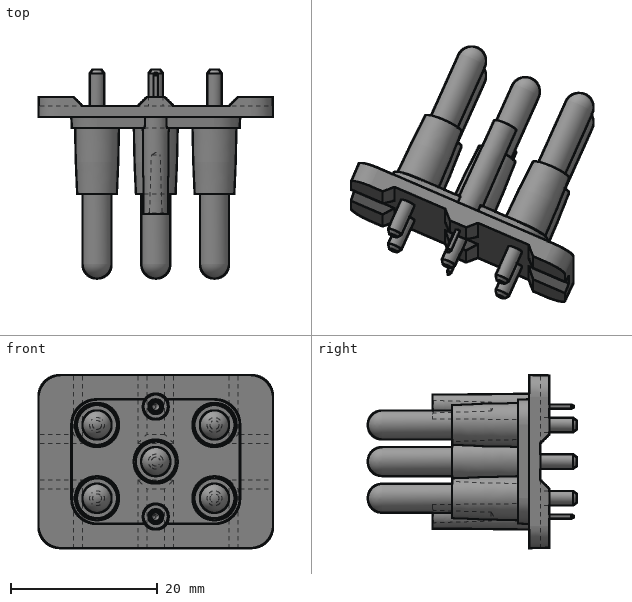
import cadquery as cq
import math


FLANGE_WIDTH = 32.0
FLANGE_HEIGHT = 23.6
FLANGE_CORNER = 3.0
FLANGE_DEPTH = 2.75
FLANGE_DRAFT_ANGLE = 1.0
GROOVE_DEPTH = 1.2
UPRIGHT_GROOVE_INNER = 1.2
UPRIGHT_GROOVE_OUTER = 11.2
LEVEL_GROOVE_FLOOR_WIDTH = 5.0

CONTACT_X = 8.0
CONTACT_Z = 5.0
CONTACT_CENTRES = [(0, 0)] + [
    (side * CONTACT_X, level * CONTACT_Z) for side in (-1, 1) for level in (-1, 1)
]

PAD_CORNER = 3.52
PAD_DEPTH = 1.5
PAD_DRAFT_ANGLE = 3.0
PAD_WIDTH = 2 * (CONTACT_X + PAD_CORNER)
PAD_HEIGHT = 2 * (CONTACT_Z + PAD_CORNER)

SLEEVE_ROOT_DIAMETER = 6.08
SLEEVE_WAIST_DIAMETER = 5.82
SLEEVE_END_DIAMETER = 5.45
SLEEVE_WAIST = 6.1
SLEEVE_LENGTH = 10.5

PIN_DIAMETER = 4.0
PIN_REACH = 22.0
TAIL_DIAMETER = 2.0
TAIL_REACH = 6.5
TAIL_CHAMFER_LENGTH = 0.55
TAIL_TIP_DIAMETER = 1.2

TUBE_Z = 7.5
TUBE_CENTRES = [(0, -TUBE_Z), (0, TUBE_Z)]
TUBE_ROOT_DIAMETER = 3.6
TUBE_END_DIAMETER = 3.33
TUBE_TAPER_END = 11.6
TUBE_LENGTH = 13.2
BORE_MOUTH_DIAMETER = 2.0
BORE_DIAMETER = 1.7
BORE_FLOOR_DIAMETER = 1.2
BORE_CHAMFER = 0.15
BORE_DEPTH = 8.0
BORE_POINT_ANGLE = 118.0

WIRE_DIAMETER = 0.6
WIRE_TIP_DIAMETER = 0.2
WIRE_REACH = 6.1
WIRE_TIP_LENGTH = 0.4


def rounded_rectangle(width, height, corner):
    return cq.Sketch().rect(width, height).vertices().fillet(corner)


def turned(stations, point_length=0):
    """Solid of revolution about Y from (diameter, y) stations; the last may carry a cone toward +Y."""
    rim = [(diameter / 2, y) for diameter, y in stations]
    start_y = rim[0][1]
    end_y = rim[-1][1] + point_length
    outline = [(0, start_y)] + rim + [(0, end_y)]
    return cq.Workplane("XY").polyline(outline).close().revolve(360, (0, 0), (0, 1))


def groove(inner, outer, length):
    """45-degree-sided groove along Z in the flange back; inner and outer are X at the back."""
    floor_y = FLANGE_DEPTH - GROOVE_DEPTH
    outline = [
        (inner, FLANGE_DEPTH),
        (inner + GROOVE_DEPTH, floor_y),
        (outer - GROOVE_DEPTH, floor_y),
        (outer, FLANGE_DEPTH),
    ]
    face = cq.Workplane("XY").polyline(outline).close()
    return face.extrude(length / 2, both=True)


def flange():
    outline = rounded_rectangle(FLANGE_WIDTH, FLANGE_HEIGHT, FLANGE_CORNER)
    plate = cq.Workplane("XZ").placeSketch(outline)
    body = plate.extrude(-FLANGE_DEPTH, taper=FLANGE_DRAFT_ANGLE)
    upright = groove(UPRIGHT_GROOVE_INNER, UPRIGHT_GROOVE_OUTER, FLANGE_HEIGHT)
    half_level = LEVEL_GROOVE_FLOOR_WIDTH / 2 + GROOVE_DEPTH
    level = groove(-half_level, half_level, FLANGE_WIDTH).rotate((0, 0, 0), (0, 1, 0), 90)
    return body.cut(upright).cut(upright.mirror("YZ")).cut(level)


def pad():
    outline = rounded_rectangle(PAD_WIDTH, PAD_HEIGHT, PAD_CORNER)
    return cq.Workplane("XZ").placeSketch(outline).extrude(PAD_DEPTH, taper=PAD_DRAFT_ANGLE)


def contact():
    sleeve = turned([
        (SLEEVE_ROOT_DIAMETER, 0),
        (SLEEVE_WAIST_DIAMETER, -SLEEVE_WAIST),
        (SLEEVE_END_DIAMETER, -SLEEVE_LENGTH),
    ])
    dome_centre = -(PIN_REACH - PIN_DIAMETER / 2)
    pin = turned([(PIN_DIAMETER, 0), (PIN_DIAMETER, dome_centre)])
    dome = cq.Workplane("XZ", origin=(0, dome_centre, 0)).sphere(PIN_DIAMETER / 2)
    tail = turned([
        (TAIL_DIAMETER, 0),
        (TAIL_DIAMETER, TAIL_REACH - TAIL_CHAMFER_LENGTH),
        (TAIL_TIP_DIAMETER, TAIL_REACH),
    ])
    return sleeve.union(pin).union(dome).union(tail)


def guide_tube():
    return turned([
        (TUBE_ROOT_DIAMETER, 0),
        (TUBE_END_DIAMETER, -TUBE_TAPER_END),
        (TUBE_END_DIAMETER, -TUBE_LENGTH),
    ])


def guide_bore():
    """Chamfered, slightly tapered blind bore with a conical bottom."""
    floor_y = BORE_DEPTH - TUBE_LENGTH
    point_length = BORE_FLOOR_DIAMETER / 2 / math.tan(math.radians(BORE_POINT_ANGLE / 2))
    stations = [
        (BORE_MOUTH_DIAMETER, -TUBE_LENGTH),
        (BORE_DIAMETER, BORE_CHAMFER - TUBE_LENGTH),
        (BORE_FLOOR_DIAMETER, floor_y),
    ]
    return turned(stations, point_length)


def wire():
    return turned([
        (WIRE_DIAMETER, 0),
        (WIRE_DIAMETER, WIRE_REACH - WIRE_TIP_LENGTH),
        (WIRE_TIP_DIAMETER, WIRE_REACH),
    ])


result = flange().union(pad())

for x, z in CONTACT_CENTRES:
    result = result.union(contact().translate((x, 0, z)))

for x, z in TUBE_CENTRES:
    result = result.union(guide_tube().translate((x, 0, z)))
    result = result.union(wire().translate((x, 0, z)))
    result = result.cut(guide_bore().translate((x, 0, z)))